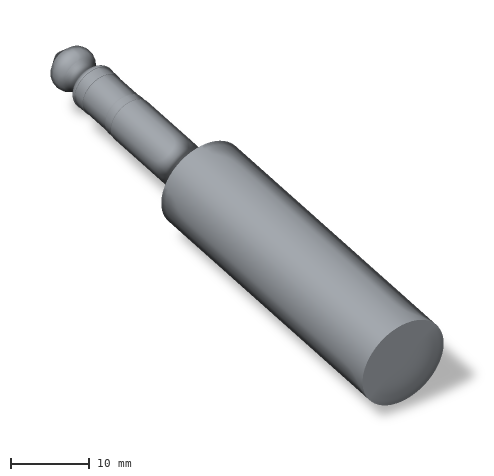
import cadquery as cq
import math

overall_length = 73.85
barrel_diameter = 12.8
barrel_radius = barrel_diameter / 2
barrel_start = 30.8

sleeve_radius = 3.2
sleeve_start = 15.5
bevel_length = 0.15

ring_radius = 3.0
band_radius = 3.1
front_band_start = 7.8
ring_start = 9.45
rear_band_start = 14.3

nose_length = 0.2
nose_radius = 0.75
cone_end = 2.3
cone_end_radius = 2.9
ball_crest = 3.6
ball_crest_radius = 3.1
ball_end = 4.7
ball_end_radius = 2.5

neck_waist = 5.75
neck_radius = 2.15
neck_end = 7.0
neck_end_radius = 2.8
collar_radius = sleeve_radius


def dome_point(height, radius):
    """Point on a spherical cap with its pole at the origin, halfway out to the rim."""
    sphere_radius = (height**2 + radius**2) / (2 * height)
    halfway = radius / 2
    return sphere_radius - math.sqrt(sphere_radius**2 - halfway**2), halfway


def make_plug():
    """Revolve the stepped plug about the X axis, reaching back to the barrel face."""
    profile = (
        cq.Workplane("XZ")
        .moveTo(0, 0)
        .threePointArc(dome_point(nose_length, nose_radius), (nose_length, nose_radius))
        .lineTo(cone_end, cone_end_radius)
        .threePointArc((ball_crest, ball_crest_radius), (ball_end, ball_end_radius))
        .threePointArc((neck_waist, neck_radius), (neck_end, neck_end_radius))
        .tangentArcPoint((front_band_start, collar_radius), relative=False)
        .lineTo(front_band_start, band_radius)
        .lineTo(ring_start, band_radius)
        .lineTo(ring_start, ring_radius)
        .lineTo(rear_band_start, ring_radius)
        .lineTo(rear_band_start, band_radius)
        .lineTo(sleeve_start, band_radius)
        .lineTo(sleeve_start + bevel_length, sleeve_radius)
        .lineTo(barrel_start, sleeve_radius)
        .lineTo(barrel_start, 0)
        .close()
    )
    return profile.revolve(360, (0, 0, 0), (1, 0, 0))


def make_barrel():
    """Extrude the plain cylindrical barrel behind the plug."""
    return (
        cq.Workplane("YZ", origin=(barrel_start, 0, 0))
        .circle(barrel_radius)
        .extrude(overall_length - barrel_start)
    )


result = make_plug().union(make_barrel())